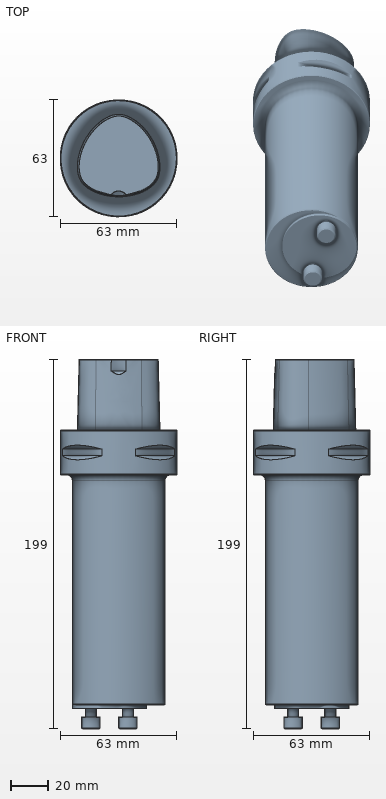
import cadquery as cq
import math


SHANK_LENGTH = 38.0
SHANK_DIAMETER = 44.5
SHANK_TAPER = 1.0 / 20.0
LOBE_HEIGHT = 1.5
LOBE_COUNT = 3
FLAT_HALF_ANGLE = 23.5
CURVE_STEPS = 8

NOTCH_DIAMETER = 10.0
NOTCH_DEPTH = 6.0
NOTCH_TIP_ANGLE = 40.0
NOTCH_TIP_HEIGHT = NOTCH_DIAMETER / 2 * math.tan(math.radians(NOTCH_TIP_ANGLE))
NOTCH_INSET = 17.6

COLLAR_DIAMETER = 63.0
COLLAR_LENGTH = 24.0
COLLAR_CHAMFER = 0.4
GROOVE_COUNT = 4
GROOVE_FIRST_ANGLE = 45.0
GROOVE_FLOOR_RADIUS = 27.7
GROOVE_FLOOR_WIDTH = 3.5
GROOVE_WALL_ANGLE = 30.0
GROOVE_LEVEL = -COLLAR_LENGTH / 2

BODY_DIAMETER = 50.0
BODY_END = -148.0
BODY_CHAMFER = 0.5
NECK_FILLET = 3.0

DISC_DIAMETER = 40.0
DISC_THICKNESS = 2.0
DISC_OFFSET_X = (DISC_DIAMETER - BODY_DIAMETER) / 2
SCREW_SPACING = 20.0
SCREW_SHANK_DIAMETER = 6.0
SCREW_HEAD_DIAMETER = 10.0
SCREW_HEAD_LENGTH = 6.5
SCREW_HEAD_CHAMFER = 0.7
PART_END = -161.0
DISC_END = BODY_END - DISC_THICKNESS


def shank_point(normal_angle, mean_radius):
    """Point of the constant-width outline where the outward normal has the given angle in degrees."""
    angle = math.radians(normal_angle)
    lobe_phase = LOBE_COUNT * (angle - math.pi / 2)
    reach = mean_radius + LOBE_HEIGHT * math.cos(lobe_phase)
    slide = -LOBE_COUNT * LOBE_HEIGHT * math.sin(lobe_phase)
    x = reach * math.cos(angle) - slide * math.sin(angle)
    y = reach * math.sin(angle) + slide * math.cos(angle)
    return cq.Vector(x, y, 0)


def shank_side(start_angle, end_angle, mean_radius, level):
    """Spline along the outline between two normal angles, at the given height."""
    step = (end_angle - start_angle) / CURVE_STEPS
    lift = cq.Vector(0, 0, level)
    points = [shank_point(start_angle + i * step, mean_radius) + lift for i in range(CURVE_STEPS + 1)]
    return cq.Edge.makeSpline(points)


def shank_outline(mean_radius, level):
    """Closed outline of alternating flat sides and lobes."""
    pitch = 360.0 / LOBE_COUNT
    edges = []
    for i in range(LOBE_COUNT):
        flat_middle = -90.0 + i * pitch
        flat_start = flat_middle - FLAT_HALF_ANGLE
        flat_end = flat_middle + FLAT_HALF_ANGLE
        edges.append(shank_side(flat_start, flat_end, mean_radius, level))
        edges.append(shank_side(flat_end, flat_start + pitch, mean_radius, level))
    return cq.Wire.assembleEdges(edges)


def make_shank():
    base_radius = SHANK_DIAMETER / 2
    top_radius = base_radius - SHANK_LENGTH * SHANK_TAPER / 2
    base = shank_outline(base_radius, 0)
    top = shank_outline(top_radius, SHANK_LENGTH)
    return cq.Workplane(obj=cq.Solid.makeLoft([base, top], True))


def make_notch():
    """Drill-shaped cutter with a conical tip pointing down."""
    radius = NOTCH_DIAMETER / 2
    shoulder = SHANK_LENGTH - NOTCH_DEPTH
    profile = (
        cq.Workplane("XZ")
        .moveTo(0, SHANK_LENGTH)
        .lineTo(radius, SHANK_LENGTH)
        .lineTo(radius, shoulder)
        .lineTo(0, shoulder - NOTCH_TIP_HEIGHT)
        .close()
    )
    cutter = profile.revolve(360, (0, 0), (0, 1))
    return cutter.translate((0, -NOTCH_INSET - radius, 0))


def make_collar():
    collar = cq.Workplane("XY").circle(COLLAR_DIAMETER / 2).extrude(-COLLAR_LENGTH)
    return collar.edges().chamfer(COLLAR_CHAMFER)


def make_groove(angle):
    """Straight trapezoidal cutter across the collar rim, facing the given angle."""
    depth = COLLAR_DIAMETER / 2 - GROOVE_FLOOR_RADIUS
    half_floor = GROOVE_FLOOR_WIDTH / 2
    half_mouth = half_floor + depth * math.tan(math.radians(GROOVE_WALL_ANGLE))
    profile = cq.Workplane("XZ").polyline([
        (GROOVE_FLOOR_RADIUS, GROOVE_LEVEL - half_floor),
        (COLLAR_DIAMETER / 2, GROOVE_LEVEL - half_mouth),
        (COLLAR_DIAMETER / 2, GROOVE_LEVEL + half_mouth),
        (GROOVE_FLOOR_RADIUS, GROOVE_LEVEL + half_floor),
    ])
    cutter = profile.close().extrude(COLLAR_DIAMETER / 2, both=True)
    return cutter.rotate((0, 0, 0), (0, 0, 1), angle)


def make_body():
    """Body with a concave fillet up to the collar and a chamfered lower edge."""
    radius = BODY_DIAMETER / 2
    profile = (
        cq.Workplane("XZ")
        .moveTo(0, -COLLAR_LENGTH)
        .lineTo(radius + NECK_FILLET, -COLLAR_LENGTH)
        .radiusArc((radius, -COLLAR_LENGTH - NECK_FILLET), -NECK_FILLET)
        .lineTo(radius, BODY_END + BODY_CHAMFER)
        .lineTo(radius - BODY_CHAMFER, BODY_END)
        .lineTo(0, BODY_END)
        .close()
    )
    return profile.revolve(360, (0, 0), (0, 1))


def make_disc():
    disc = cq.Workplane("XY").workplane(offset=BODY_END + BODY_CHAMFER).center(DISC_OFFSET_X, 0)
    return disc.circle(DISC_DIAMETER / 2).extrude(-DISC_THICKNESS - BODY_CHAMFER)


def make_screw(x, y):
    head = cq.Workplane("XY").workplane(offset=PART_END).circle(SCREW_HEAD_DIAMETER / 2)
    head = head.extrude(SCREW_HEAD_LENGTH).faces("<Z").chamfer(SCREW_HEAD_CHAMFER)
    shank = cq.Workplane("XY").workplane(offset=PART_END).circle(SCREW_SHANK_DIAMETER / 2)
    shank = shank.extrude(DISC_END - PART_END)
    return head.union(shank).translate((x, y, 0))


result = make_shank().cut(make_notch())
result = result.union(make_collar()).union(make_body()).union(make_disc())

for groove in range(GROOVE_COUNT):
    result = result.cut(make_groove(GROOVE_FIRST_ANGLE + groove * 360.0 / GROOVE_COUNT))

for side in (-1, 1):
    screw_x = DISC_OFFSET_X + side * SCREW_SPACING / 2
    screw_y = -side * SCREW_SPACING / 2
    result = result.union(make_screw(screw_x, screw_y))